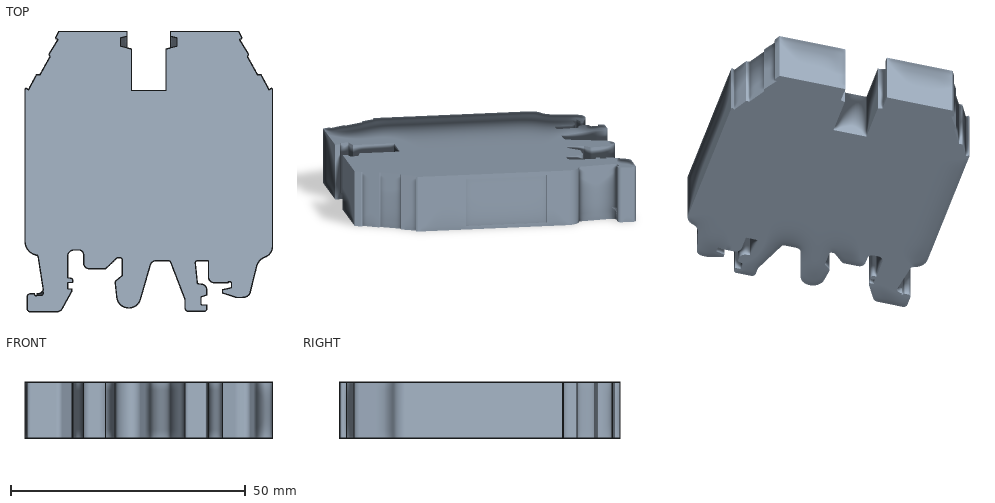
import cadquery as cq
import math


width = 52.8
height = 59.81
thickness = 12.0
half_width = width / 2

shoulder_y = 47.5
upper_half_width = 19.2
slot_half_width = 3.65
slot_floor_y = 47.25
slot_mouth_half_width = 4.6
ledge_y = 56.3
ledge_slope = 0.25

pocket_depth = 1.45
pocket_top_y = 58.8
pocket_floor_z = 1.0

label_length = 17.5
label_margin_z = 0.8
label_center_y = 28.25
label_depth = 0.1

leg_inner_x = -17.25
leg_outer_x = -22.45
foot_outer_x = -25.95
foot_top_y = 3.9
foot_recess_depth = 0.4

wedge_run = 1.4
wedge_rise = 1.05
wedge_height = 2.5
wedge_overlap = 0.3
wedge_top_slope = 0.8

left_gap_top_y = 13.2
left_gap_right_x = -13.9
body_bottom_y = 9.2
latch_gap_top_y = 11.55
middle_gap_top_y = 10.9

finger_left_x = -5.7
finger_apex_x = -5.44
finger_apex_y = -10.04
finger_tip_radius = 2.6

latch_left_x = 7.7
latch_right_x = 12.4
latch_bottom_y = 0.12

right_block_left_x = 12.7
right_block_bottom_y = 6.2
hook_bottom_y = 3.05




def shoulder_corners(side):
    """Saw-tooth shoulder from the body side up to the top edge; side is -1 left, +1 right."""
    steps = [
        (half_width, shoulder_y),
        (half_width - 0.2, shoulder_y + 0.25),
        (half_width - 0.75, shoulder_y - 0.1),
        (half_width - 2.45, 50.6),
        (half_width - 3.2, 50.6),
        (half_width - 5.35, 54.45),
        (half_width - 5.1, 54.95),
        (upper_half_width + 0.15, 58.1),
        (upper_half_width + 0.6, 58.2),
        (upper_half_width + 0.65, 58.55),
        (upper_half_width, height),
    ]
    return [(side * x, y, 0) for x, y in steps]


def slot_corners(side):
    """One wall of the marker slot, from the top edge to the slot floor."""
    ledge_drop = ledge_slope * (slot_mouth_half_width - slot_half_width)
    return [
        (side * slot_mouth_half_width, height, 0),
        (side * slot_mouth_half_width, ledge_y, 0),
        (side * slot_half_width, ledge_y - ledge_drop, 0),
        (side * slot_half_width, slot_floor_y, 0),
    ]


def left_foot_corners():
    """Left body corner, leg, rail foot and clip nib, ending in the top of the left gap."""
    return [
        (-half_width, 12.9, 3.0),
        (-24.0, 12.1, 1.6),
        (-23.65, 12.1, 0.5),
        (leg_outer_x - 0.08, 4.9, 0),
        (leg_outer_x, foot_top_y - foot_recess_depth, 0.5),
        (-24.2, foot_top_y - foot_recess_depth, 0.15),
        (-24.4, foot_top_y, 0),
        (foot_outer_x, foot_top_y, 0.7),
        (foot_outer_x, 0, 0.8),
        (-18.83, 0, 1.45),
        (-16.4, 4.4, 0),
        (-16.4, 4.95, 0),
        (leg_inner_x, 4.95, 0),
        (leg_inner_x, 6.25, 0),
        (-16.15, 6.25, 0.35),
        (-16.15, 7.25, 0.6),
        (leg_inner_x, 7.25, 0),
        (leg_inner_x, left_gap_top_y, 1.3),
        (left_gap_right_x, left_gap_top_y, 1.0),
    ]


def centre_finger_corners():
    """Body underside right of the left gap, then the rounded centre finger."""
    return [
        (left_gap_right_x, body_bottom_y, 1.25),
        (-9.2, body_bottom_y, 0),
        (-6.75, latch_gap_top_y, 0.6),
        (finger_left_x, latch_gap_top_y, 0.4),
        (finger_left_x, 7.75, 0),
        (-7.2, 6.5, 0.5),
        (finger_apex_x, finger_apex_y, finger_tip_radius),
        (0.6, middle_gap_top_y, 1.25),
    ]


def right_latch_corners():
    """Tapered right latch leg with its two nibs, ending in the top of the right gap."""
    return [
        (4.55, middle_gap_top_y, 0.5),
        (latch_left_x, 2.7, 0),
        (latch_left_x, latch_bottom_y, 0.8),
        (latch_right_x, latch_bottom_y, 0.6),
        (latch_right_x, 1.5, 0),
        (11.15, 1.5, 0.3),
        (11.15, 3.2, 0),
        (latch_right_x, 3.6, 0),
        (latch_right_x, 5.85, 1.3),
        (10.4, 6.05, 0),
        (9.9, middle_gap_top_y, 0.4),
    ]


def right_hook_corners():
    """Right block with the pointed hook and the rounded right body corner."""
    return [
        (right_block_left_x, middle_gap_top_y, 0),
        (right_block_left_x, right_block_bottom_y, 1.35),
        (16.85, right_block_bottom_y, 0),
        (17.0, 6.4, 0),
        (17.6, 6.4, 0.15),
        (17.6, 5.2, 0),
        (15.7, 4.75, 0),
        (15.7, 4.05, 0),
        (18.75, hook_bottom_y, 1.9),
        (19.5, hook_bottom_y, 0),
        (21.4, hook_bottom_y + 0.15, 1.5),
        (23.35, 11.05, 2.7),
        (half_width, 12.4, 2.4),
    ]


def rounded_outline(corners):
    """Closed outline through (x, y, radius) corners; each corner with a radius becomes a tangent arc."""
    pieces = []
    for index, (x, y, radius) in enumerate(corners):
        corner = cq.Vector(x, y, 0)
        if radius == 0:
            pieces.append((corner, None, corner))
            continue
        before = corners[index - 1]
        after = corners[(index + 1) % len(corners)]
        to_before = (cq.Vector(before[0], before[1], 0) - corner).normalized()
        to_after = (cq.Vector(after[0], after[1], 0) - corner).normalized()
        half_angle = to_before.getAngle(to_after) / 2
        setback = radius / math.tan(half_angle)
        apex_distance = radius / math.sin(half_angle) - radius
        apex = corner + (to_before + to_after).normalized() * apex_distance
        pieces.append((corner + to_before * setback, apex, corner + to_after * setback))

    start = pieces[0][0]
    outline = cq.Workplane("XY").moveTo(start.x, start.y)
    for index, (arc_start, apex, arc_end) in enumerate(pieces):
        if index > 0:
            outline = outline.lineTo(arc_start.x, arc_start.y)
        if apex is not None:
            outline = outline.threePointArc((apex.x, apex.y), (arc_end.x, arc_end.y))
    return outline.close()


def body():
    """The whole plate, its outline followed counter-clockwise from the left body corner."""
    corners = (
        left_foot_corners()
        + centre_finger_corners()
        + right_latch_corners()
        + right_hook_corners()
        + shoulder_corners(1)
        + slot_corners(1)
        + slot_corners(-1)[::-1]
        + shoulder_corners(-1)[::-1]
    )
    return rounded_outline(corners).extrude(thickness)


def slot_pocket(side):
    """Cutter for the tapered pocket in one wall of the slot mouth."""
    inner_x = slot_mouth_half_width
    outer_x = inner_x + pocket_depth
    taper = ledge_slope * pocket_depth
    points = [
        (side * inner_x, ledge_y),
        (side * outer_x, ledge_y + taper),
        (side * outer_x, pocket_top_y - taper),
        (side * inner_x, pocket_top_y),
    ]
    pocket = cq.Workplane("XY").workplane(offset=pocket_floor_z).polyline(points).close()
    return pocket.extrude(thickness - pocket_floor_z)


def label_recess():
    """Cutter for the label recess; half of it lies outside the side wall."""
    label_height = thickness - 2 * label_margin_z
    cutter = cq.Workplane("XY").box(2 * label_depth, label_length, label_height)
    return cutter.translate((-half_width, label_center_y, thickness / 2))


def foot_wedge():
    """Concave corner fill between leg and foot, with a top that slopes down away from the leg."""
    floor_y = foot_top_y - foot_recess_depth
    inner_x = leg_outer_x + wedge_overlap
    outer_x = leg_outer_x - wedge_run
    top_y = foot_top_y + wedge_rise
    bulge = 1 - math.sqrt(0.5)
    arc_middle = (leg_outer_x - wedge_run * bulge, foot_top_y + wedge_rise * bulge)
    fill = (
        cq.Workplane("XY")
        .moveTo(outer_x, floor_y)
        .lineTo(outer_x, foot_top_y)
        .threePointArc(arc_middle, (leg_outer_x, top_y))
        .lineTo(inner_x, top_y)
        .lineTo(inner_x, floor_y)
        .close()
        .extrude(wedge_height)
    )
    slope_drop = wedge_top_slope * wedge_run
    slope_cutter = (
        cq.Workplane("XZ", origin=(0, top_y, 0))
        .polyline([
            (leg_outer_x, wedge_height),
            (outer_x, wedge_height),
            (outer_x, wedge_height - slope_drop),
        ])
        .close()
        .extrude(top_y - floor_y)
    )
    return fill.cut(slope_cutter)


result = body()
for side in (-1, 1):
    result = result.cut(slot_pocket(side))
result = result.cut(label_recess())
result = result.union(foot_wedge())